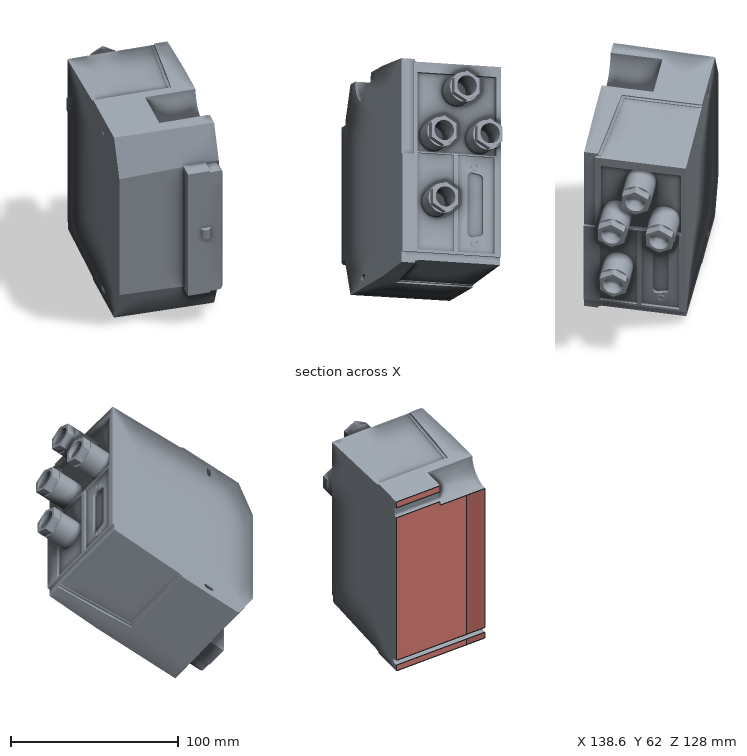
import cadquery as cq

DEPTH = 62.0
HEIGHT = 128.0
HALF_HEIGHT = HEIGHT / 2
FRONT_HALF_HEIGHT = 61.8
TAPER_END_X = 37.0
BACK_X = 107.3
BEVEL_START_X = 97.7
BEVEL_END_Z = 43.1
BEVEL_START_X_FLAT_SIDE = 96.4
BEVEL_END_Z_FLAT_SIDE = 41.2
BEYOND_FOOT_X = 138.6

PARTING_FRONT_Y = 55.0
PARTING_MIDDLE_Y = 49.2
PARTING_BACK_Y = 53.7
PARTING_SLANT_END_X = 54.6

FRONT_STEP = 1.5
FRONT_FACE_TOP_Z = 60.0
FRONT_STEP_BOTTOM_Z = -55.5
COVER_STEP_Z = 4.0

LABEL_END_X = 53.4
LABEL_END_Z = 62.5
LABEL_FRONT_Y = 53.7
LABEL_END_Y = 48.5
LABEL_LEDGE = 1.5
LABEL_LEDGE_HEIGHT = 0.5

CHANNEL_X = 74.0
CHANNEL_RADIUS = 14.7
CHANNEL_LENGTH = 31.5

SLOT_X = 73.8
SLOT_WIDTH = 3.2
SLOT_LENGTH = 7.1
UPPER_SLOT_Z = 55.6
LOWER_SLOT_Z = -57.7

FOOT_LENGTH = 9.7
FOOT_LOW_Y = 40.0
FOOT_CORNER_RADIUS = 2.8
COVER_FOOT_HALF_HEIGHT = 42.1
NUB_RADIUS = 2.9
NUB_HEIGHT = 6.7
NUB_Y = 50.7

WINDOW_DEPTH = 1.5
UPPER_FLOOR_DEPTH = 2 * WINDOW_DEPTH
UPPER_LOW_Y = 2.9
UPPER_HIGH_Y = 51.9
UPPER_LOW_Z = 5.7
UPPER_HIGH_Z = 53.8
UPPER_LEDGE = 0.7
LOWER_LOW_Z = -54.0
LOWER_HIGH_Z = 4.9
LOWER_WINDOW_WIDTH = 22.9
GLAND_WINDOW_Y = 40.9
SOCKET_WINDOW_Y = 15.5
LOWER_CENTER_Z = (LOWER_LOW_Z + LOWER_HIGH_Z) / 2

SOCKET_WIDTH = 9.7
SOCKET_LONG_SIDE = 40.8
SOCKET_SHORT_SIDE = 36.3
SOCKET_CORNER_RADIUS = 2.5
SOCKET_DEPTH = 2.0
POST_SPACING = 46.6
POST_RADIUS = 2.5
POST_BORE_RADIUS = 1.5
POST_LENGTH = 2.0
POST_RIM = 0.4

GLAND_RADIUS = 9.0
GLAND_BORE_RADIUS = 6.1
GLAND_NUT_CORNERS = 2 * GLAND_RADIUS
GLAND_NUT_LENGTH = 5.0
GLAND_REACH = 18.3
LONG_GLAND_REACH = 18.7
GLAND_BASE_SIZE = 20.0
GLAND_BASE_THICKNESS = 2.0


def box(x, y, z):
    """Box between the given (low, high) limits along each axis."""
    return (
        cq.Workplane("XY")
        .box(x[1] - x[0], y[1] - y[0], z[1] - z[0], centered=False)
        .translate((x[0], y[0], z[0]))
    )


def envelope_outline(y, bevel_start_x, bevel_end_z):
    upper = [
        (0, FRONT_HALF_HEIGHT),
        (TAPER_END_X, HALF_HEIGHT),
        (bevel_start_x, HALF_HEIGHT),
        (BACK_X, bevel_end_z),
    ]
    lower = [(x, -z) for x, z in reversed(upper)]
    points = [cq.Vector(x, y, z) for x, z in upper + lower]
    return cq.Wire.makePolygon(points, close=True)


def envelope():
    flat_side = envelope_outline(0, BEVEL_START_X_FLAT_SIDE, BEVEL_END_Z_FLAT_SIDE)
    cover_side = envelope_outline(DEPTH, BEVEL_START_X, BEVEL_END_Z)
    return cq.Workplane(obj=cq.Solid.makeLoft([flat_side, cover_side], True))


def cover_zone():
    """Everything on the cover side of the parting line."""
    return (
        cq.Workplane("XY", origin=(0, 0, -HALF_HEIGHT))
        .moveTo(0, PARTING_FRONT_Y)
        .lineTo(PARTING_SLANT_END_X, PARTING_MIDDLE_Y)
        .lineTo(BEVEL_START_X, PARTING_MIDDLE_Y)
        .lineTo(BACK_X, PARTING_BACK_Y)
        .lineTo(BEYOND_FOOT_X, PARTING_BACK_Y)
        .lineTo(BEYOND_FOOT_X, DEPTH)
        .lineTo(0, DEPTH)
        .close()
        .extrude(HEIGHT)
    )


def channel():
    return (
        cq.Workplane("XZ", origin=(CHANNEL_X, DEPTH, HALF_HEIGHT))
        .circle(CHANNEL_RADIUS)
        .extrude(CHANNEL_LENGTH)
    )


def mounting_slot(z, angle):
    return (
        cq.Workplane("XZ", origin=(SLOT_X, DEPTH, z))
        .slot2D(SLOT_LENGTH, SLOT_WIDTH, angle)
        .extrude(DEPTH)
    )


def label_prism(inset, rise):
    """Wedge-shaped cut with a sloping floor, inset from the recess edge, its floor raised by rise."""
    end_x = LABEL_END_X - inset
    floor = (
        cq.Workplane("XZ", origin=(0, DEPTH, 0))
        .moveTo(FRONT_STEP, FRONT_FACE_TOP_Z + rise)
        .lineTo(LABEL_END_X, LABEL_END_Z + rise)
        .lineTo(LABEL_END_X, HALF_HEIGHT)
        .lineTo(FRONT_STEP, HALF_HEIGHT)
        .close()
        .extrude(DEPTH)
    )
    plan = (
        cq.Workplane("XY")
        .moveTo(0, 0)
        .lineTo(end_x, 0)
        .lineTo(end_x, LABEL_END_Y - inset)
        .lineTo(0, LABEL_FRONT_Y - inset)
        .close()
        .extrude(HALF_HEIGHT)
    )
    return floor.intersect(plan)


def label_recesses():
    """Two-level recess in the top face and its mirror image in the bottom face."""
    recess = label_prism(0, LABEL_LEDGE_HEIGHT).union(label_prism(LABEL_LEDGE, 0))
    return recess.union(recess.mirror("XY"))


def front_step(low_z, high_z):
    return box((0, FRONT_STEP), (0, DEPTH), (low_z, high_z))


def lower_window(center_y):
    half_width = LOWER_WINDOW_WIDTH / 2
    return box(
        (0, WINDOW_DEPTH),
        (center_y - half_width, center_y + half_width),
        (LOWER_LOW_Z, LOWER_HIGH_Z),
    )


def upper_window():
    z_limits = (UPPER_LOW_Z, UPPER_HIGH_Z)
    ledge = box((0, WINDOW_DEPTH), (UPPER_LOW_Y, UPPER_HIGH_Y + UPPER_LEDGE), z_limits)
    floor = box((0, UPPER_FLOOR_DEPTH), (UPPER_LOW_Y, UPPER_HIGH_Y), z_limits)
    return ledge.union(floor)


def socket():
    long_half = SOCKET_LONG_SIDE / 2
    short_half = SOCKET_SHORT_SIDE / 2
    half_width = SOCKET_WIDTH / 2
    return (
        cq.Workplane("YZ", origin=(WINDOW_DEPTH, SOCKET_WINDOW_Y, LOWER_CENTER_Z))
        .moveTo(half_width, long_half)
        .lineTo(half_width, -long_half)
        .lineTo(-half_width, -short_half)
        .lineTo(-half_width, short_half)
        .close()
        .extrude(SOCKET_DEPTH)
        .edges("|X")
        .fillet(SOCKET_CORNER_RADIUS)
    )


def housing_foot():
    block = box(
        (BACK_X, BACK_X + FOOT_LENGTH),
        (FOOT_LOW_Y, PARTING_BACK_Y),
        (-BEVEL_END_Z, BEVEL_END_Z),
    )
    nub = (
        cq.Workplane("XY", origin=(BACK_X + FOOT_LENGTH, NUB_Y, -NUB_HEIGHT / 2))
        .circle(NUB_RADIUS)
        .extrude(NUB_HEIGHT)
    )
    return block.union(nub)


def cover_foot():
    block = box(
        (BACK_X, BACK_X + FOOT_LENGTH),
        (PARTING_BACK_Y, DEPTH),
        (-COVER_FOOT_HALF_HEIGHT, COVER_FOOT_HALF_HEIGHT),
    )
    return block.faces(">Y").edges("not <X").fillet(FOOT_CORNER_RADIUS)


def make_gland(y, z, reach, seat_x):
    """Tubular gland with a hexagonal nut, standing on a window floor at seat_x."""
    tube = (
        cq.Workplane("YZ", origin=(GLAND_NUT_LENGTH - reach, y, z))
        .circle(GLAND_RADIUS)
        .extrude(seat_x + reach - GLAND_NUT_LENGTH)
    )
    nut = (
        cq.Workplane("YZ", origin=(-reach, y, z))
        .transformed(rotate=(0, 0, 90))
        .polygon(6, GLAND_NUT_CORNERS)
        .extrude(GLAND_NUT_LENGTH)
    )
    bore = (
        cq.Workplane("YZ", origin=(-reach, y, z))
        .circle(GLAND_BORE_RADIUS)
        .extrude(reach + seat_x)
    )
    return tube.union(nut).cut(bore)


def gland_base(y, z):
    """Square base plate let flush into the floor of the upper window."""
    return (
        cq.Workplane("YZ", origin=(UPPER_FLOOR_DEPTH, y, z))
        .rect(GLAND_BASE_SIZE, GLAND_BASE_SIZE)
        .extrude(GLAND_BASE_THICKNESS)
    )


def post_plug(z):
    """Sunken part of a screw post, ending flush with the window floor."""
    return (
        cq.Workplane("YZ", origin=(WINDOW_DEPTH, SOCKET_WINDOW_Y, z))
        .circle(POST_RADIUS)
        .extrude(POST_LENGTH)
    )


def make_post(z):
    """Screw post beside the socket: a plug with a low rim in front of it."""
    rim = (
        cq.Workplane("YZ", origin=(WINDOW_DEPTH, SOCKET_WINDOW_Y, z))
        .circle(POST_RADIUS)
        .circle(POST_BORE_RADIUS)
        .extrude(-POST_RIM)
    )
    return post_plug(z).union(rim)


base_half = GLAND_BASE_SIZE / 2
upper_gland_places = [
    ((UPPER_LOW_Y + UPPER_HIGH_Y) / 2, UPPER_HIGH_Z - base_half, GLAND_REACH),
    (UPPER_HIGH_Y - base_half, UPPER_LOW_Z + base_half, LONG_GLAND_REACH),
    (UPPER_LOW_Y + base_half, UPPER_LOW_Z + base_half, GLAND_REACH),
]
bases = [gland_base(y, z) for y, z, _ in upper_gland_places]
glands = [
    make_gland(y, z, reach, UPPER_FLOOR_DEPTH).union(base)
    for (y, z, reach), base in zip(upper_gland_places, bases)
]
glands.append(make_gland(GLAND_WINDOW_Y, LOWER_CENTER_Z, GLAND_REACH, WINDOW_DEPTH))

post_heights = [LOWER_CENTER_Z + side * POST_SPACING / 2 for side in (1, -1)]
posts = [make_post(z) for z in post_heights]

shell = (
    envelope()
    .cut(channel())
    .cut(mounting_slot(UPPER_SLOT_Z, 90))
    .cut(mounting_slot(LOWER_SLOT_Z, 0))
    .cut(front_step(-HALF_HEIGHT, FRONT_STEP_BOTTOM_Z))
)

cover = shell.intersect(cover_zone()).cut(front_step(COVER_STEP_Z, HALF_HEIGHT)).union(cover_foot())

housing = (
    shell.cut(cover_zone())
    .cut(front_step(FRONT_FACE_TOP_Z, HALF_HEIGHT))
    .cut(label_recesses())
    .cut(upper_window())
    .cut(lower_window(GLAND_WINDOW_Y))
    .cut(lower_window(SOCKET_WINDOW_Y))
    .cut(socket())
    .union(housing_foot())
)
for base in bases:
    housing = housing.cut(base)
for z in post_heights:
    housing = housing.cut(post_plug(z))

result = cq.Compound.makeCompound(
    [housing.val(), cover.val(), *[gland.val() for gland in glands], *[post.val() for post in posts]]
)